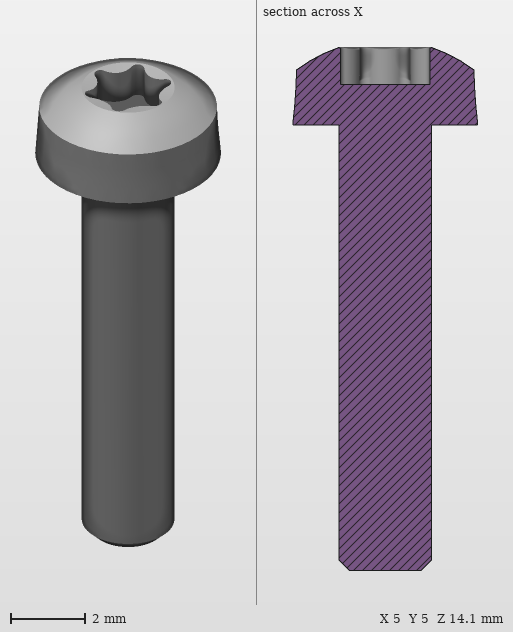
import cadquery as cq
import math

total_height = 14.1
head_height = 2.1
head_diameter = 5.0
head_radius = head_diameter / 2
dome_base_radius = 2.4
dome_height = 0.6
shank_radius = head_diameter / 4
tip_chamfer = 0.28

lobe_count = 6
socket_tip_radius = 1.2
socket_root_radius = 0.87
lobe_fillet = 0.19
lead_in_radius = 1.25
lead_in_angle = 10.0
socket_depth = 0.99

head_base_z = total_height - head_height
dome_base_z = total_height - dome_height


def polar(radius, angle):
    return radius * math.cos(angle), radius * math.sin(angle)


def make_body():
    rise = (dome_base_radius**2 - lead_in_radius**2 + dome_height**2) / (2 * dome_height)
    sphere_center_z = total_height - rise
    sphere_radius = math.hypot(lead_in_radius, rise)
    dome_mid_radius = (dome_base_radius + lead_in_radius) / 2
    dome_mid_z = sphere_center_z + math.sqrt(sphere_radius**2 - dome_mid_radius**2)
    return (
        cq.Workplane("XZ")
        .lineTo(shank_radius - tip_chamfer, 0)
        .lineTo(shank_radius, tip_chamfer)
        .lineTo(shank_radius, head_base_z)
        .lineTo(head_radius, head_base_z)
        .lineTo(dome_base_radius, dome_base_z)
        .threePointArc((dome_mid_radius, dome_mid_z), (lead_in_radius, total_height))
        .lineTo(0, total_height)
        .close()
        .revolve(360, (0, 0, 0), (0, 1, 0))
    )


def make_lead_in():
    cone_depth = lead_in_radius * math.tan(math.radians(lead_in_angle))
    return (
        cq.Workplane("XZ", origin=(0, 0, total_height))
        .lineTo(lead_in_radius, 0)
        .lineTo(0, -cone_depth)
        .close()
        .revolve(360, (0, 0, 0), (0, 1, 0))
    )


def make_socket():
    half_pitch = math.pi / lobe_count
    lobe_center = socket_tip_radius - lobe_fillet
    lobe_reach = lobe_center * math.cos(half_pitch)
    root_fillet = (
        lobe_center**2 + socket_root_radius**2 - 2 * lobe_reach * socket_root_radius - lobe_fillet**2
    ) / (2 * (lobe_fillet + lobe_reach - socket_root_radius))
    root_center = socket_root_radius + root_fillet

    share = lobe_fillet / (lobe_fillet + root_fillet)
    lobe_x, lobe_y = polar(lobe_center, half_pitch)
    tangent_x = lobe_x + share * (root_center - lobe_x)
    tangent_y = lobe_y * (1 - share)
    tangent_radius = math.hypot(tangent_x, tangent_y)
    tangent_angle = math.atan2(tangent_y, tangent_x)

    outline = cq.Workplane("XY", origin=(0, 0, total_height - socket_depth))
    outline = outline.moveTo(*polar(tangent_radius, -tangent_angle))
    for index in range(lobe_count):
        root = 2 * half_pitch * index
        lobe = root + half_pitch
        next_root = root + 2 * half_pitch
        outline = outline.threePointArc(
            polar(socket_root_radius, root), polar(tangent_radius, root + tangent_angle)
        )
        outline = outline.threePointArc(
            polar(socket_tip_radius, lobe), polar(tangent_radius, next_root - tangent_angle)
        )
    return outline.close().extrude(socket_depth)


result = make_body().cut(make_lead_in()).cut(make_socket())